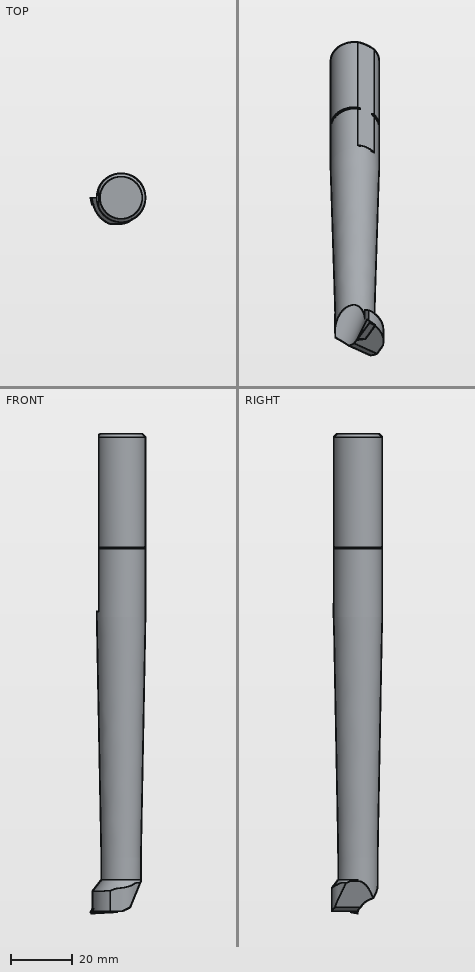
import cadquery as cq
import math

length = 157.0
shank_diameter = 16.0
shank_radius = shank_diameter / 2
end_chamfer = 1.1
flat_width = 6.3
flat_bottom = 98.9
groove_height = 119.6
groove_width = 0.5
groove_depth = 0.3

taper_top = 97.0
taper_bottom = 18.4
neck_diameter = 13.0
neck_radius = neck_diameter / 2
neck_bottom = 11.1

head_left = -9.4
head_front = -8.6
head_bottom = 0.8
head_bulge = (-7.8, -5.2)
front_facet_left = -3.6
front_facet_right = -0.3
corner_x = 4.2
corner_y = -6.3
flank_bulge = (2.2, -8.0)
right_side_y = -3.6
flare_slope = 1.3
flare_radius = 11.0
heel_top = 10.7
heel_foot_x = 3.0
heel_foot_z = 2.0
sole_right = 0.5

pocket_direction = math.radians(150)
pocket_top = 12.7
pocket_slope = 1.0
pocket_fillet = 6.3
pocket_size = 18.8

tip_clearance_angle = 10.0
tip_thickness = 2.4
tip_left = -10.0
tip_nose_x = -9.7
tip_nose_z = 0.5
tip_right = -1.3
tip_heel_z = 0.5
tip_back_x = -8.2
tip_back_z = 4.0


def make_bar():
    """Shank, taper and neck as one turned profile, with its groove and its flat."""
    groove_radius = shank_radius - groove_depth
    bar = (
        cq.Workplane("XZ")
        .moveTo(0, head_bottom)
        .lineTo(neck_radius, head_bottom)
        .lineTo(neck_radius, taper_bottom)
        .lineTo(shank_radius, taper_top)
        .lineTo(shank_radius, groove_height - groove_width / 2)
        .lineTo(groove_radius, groove_height - groove_width / 2)
        .lineTo(groove_radius, groove_height + groove_width / 2)
        .lineTo(shank_radius, groove_height + groove_width / 2)
        .lineTo(shank_radius, length - end_chamfer)
        .lineTo(shank_radius - end_chamfer, length)
        .lineTo(0, length)
        .close()
        .revolve(360, (0, 0, 0), (0, 1, 0))
    )
    flat_distance = math.sqrt(shank_radius**2 - (flat_width / 2) ** 2)
    flat = (
        cq.Workplane("XY", origin=(-2 * flat_distance, 0, flat_bottom))
        .rect(2 * flat_distance, shank_diameter)
        .extrude(length - flat_bottom)
    )
    return bar.cut(flat)


def make_head():
    """Faceted half head in front of the rake face, under a flared shoulder."""
    outline = (
        cq.Workplane("XY", origin=(0, 0, head_bottom))
        .moveTo(head_left, 0)
        .threePointArc(head_bulge, (front_facet_left, head_front))
        .lineTo(front_facet_right, head_front)
        .threePointArc(flank_bulge, (corner_x, corner_y))
        .lineTo(neck_radius, right_side_y)
        .lineTo(neck_radius, 0)
        .close()
        .extrude(neck_bottom - head_bottom)
    )
    flare_bottom = neck_bottom - flare_slope * (flare_radius - neck_radius)
    shoulder = (
        cq.Workplane("XZ")
        .moveTo(0, head_bottom)
        .lineTo(flare_radius, head_bottom)
        .lineTo(flare_radius, flare_bottom)
        .lineTo(neck_radius, neck_bottom)
        .lineTo(0, neck_bottom)
        .close()
        .revolve(360, (0, 0, 0), (0, 1, 0))
    )
    return outline.intersect(shoulder)


def make_heel_cut():
    """Slanted relief on the +X side that runs down to the sole."""
    outer = shank_radius + neck_radius
    return (
        cq.Workplane("XZ")
        .moveTo(neck_radius, heel_top)
        .lineTo(heel_foot_x, heel_foot_z)
        .lineTo(sole_right, head_bottom)
        .lineTo(outer, head_bottom)
        .lineTo(outer, heel_top)
        .close()
        .extrude(outer, both=True)
    )


def make_chip_pocket():
    """Block with a sloping floor and a vertical wall along the rake face."""
    uphill = (math.cos(pocket_direction), math.sin(pocket_direction))
    crest = (neck_radius * uphill[0], neck_radius * uphill[1], pocket_top)
    floor_normal = (pocket_slope * uphill[0], pocket_slope * uphill[1], -1)
    floor = cq.Plane(origin=crest, xDir=(-uphill[1], uphill[0], 0), normal=floor_normal)
    below_floor = cq.Workplane(floor).rect(4 * pocket_size, 4 * pocket_size).extrude(2 * pocket_size)
    behind_rake = (
        cq.Workplane("XY", origin=(0, pocket_size / 2, 0))
        .box(2 * pocket_size, pocket_size, 2 * pocket_size)
    )
    pocket = behind_rake.intersect(below_floor)
    inner_edge = cq.selectors.NearestToPointSelector((0, 0, pocket_top - pocket_slope * neck_radius))
    return pocket.edges(inner_edge).fillet(pocket_fillet)


def make_tip():
    """Cutting tip with its front edge just outside the head and below the sole."""
    return (
        cq.Workplane("XZ")
        .moveTo(tip_left, tip_nose_z)
        .lineTo(tip_nose_x, 0)
        .lineTo(tip_right, tip_heel_z)
        .lineTo(tip_back_x, tip_back_z)
        .close()
        .extrude(tip_thickness, taper=tip_clearance_angle)
    )


tip = make_tip()
holder = make_bar().union(make_head()).cut(make_heel_cut()).cut(make_chip_pocket()).cut(tip)

result = cq.Compound.makeCompound([holder.val(), tip.val()])